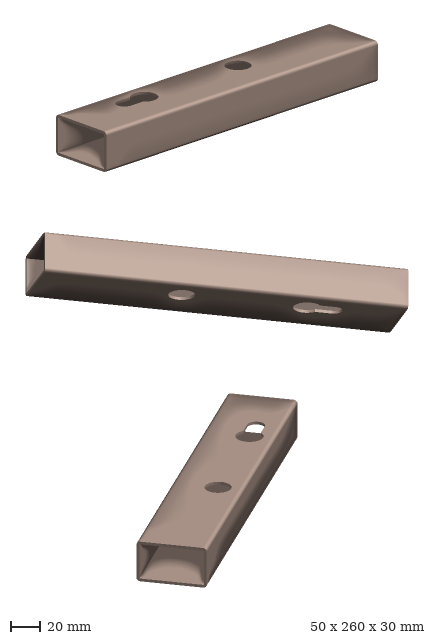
import cadquery as cq

length = 260.0
width = 50.0
height = 30.0
wall = 2.0
outer_radius = 2.5

openings_x = -7.5
handle_hole_y = 27.3
handle_hole_diameter = 18.7
hole_spacing = 89.7
cylinder_y = handle_hole_y - hole_spacing
cylinder_diameter = 19.5
keyway_width = 12.5
keyway_reach = 25.2


def bar(bar_width, bar_height):
    """Solid rectangular bar along Y, as long as the tube."""
    return cq.Workplane("XY").box(bar_width, length, bar_height)


def round_cutter(y, diameter):
    """Vertical cylinder through the full height of the tube."""
    return (
        cq.Workplane("XY")
        .center(openings_x, y)
        .circle(diameter / 2)
        .extrude(height, both=True)
    )


def keyway_cutter():
    """Straight slot leading from the cylinder centre to a rounded end towards -Y."""
    straight_length = keyway_reach - keyway_width / 2
    return (
        cq.Workplane("XY")
        .center(openings_x, cylinder_y - straight_length / 2)
        .slot2D(straight_length + keyway_width, keyway_width, 90)
        .extrude(height, both=True)
    )


outer = bar(width, height).edges("|Y").fillet(outer_radius)
cavity = bar(width - 2 * wall, height - 2 * wall)
tube = outer.cut(cavity)

handle_hole = round_cutter(handle_hole_y, handle_hole_diameter)
lock_hole = round_cutter(cylinder_y, cylinder_diameter).union(keyway_cutter())

result = tube.cut(handle_hole).cut(lock_hole)